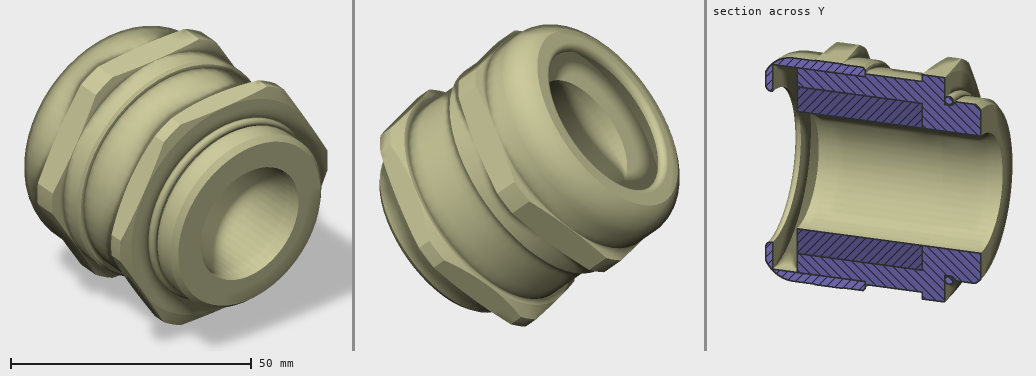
import cadquery as cq
import math


ACROSS_FLATS = 50.0
CORNER_DIAMETER = 55.0
HEX_FACE_DIAMETER = 49.8
SHALLOW_BEVEL = 0.55
STEEP_BEVEL_ANGLE = 30.0
STEEP_BEVEL = (CORNER_DIAMETER - HEX_FACE_DIAMETER) / 2 * math.tan(math.radians(STEEP_BEVEL_ANGLE))

CAP_DIAMETER = 49.8
CAP_LENGTH = 22.05
CAP_END_CHAMFER = 0.55
DOME_LENGTH = 6.2
DOME_RADIUS = 6.9
CAP_HEX_START = 10.95
CAP_HEX_END = 17.0
MOUTH_DIAMETER = 33.5
MOUTH_FILLET = 1.25
LIP_THICKNESS = 1.6
CAP_BORE_DIAMETER = 45.5

SEAL_START = 6.95
SEAL_DIAMETER = 37.0
CABLE_BORE_DIAMETER = 26.0

BARREL_DIAMETER = 47.0
FLANGE_START = 34.6
FLANGE_END = 39.65
THREAD_START = 42.1
THREAD_DIAMETER = 40.0
THREAD_END_CHAMFER_LENGTH = 1.2
THREAD_END_DIAMETER = 37.8
TOTAL_LENGTH = 47.6

RING_OUTER_DIAMETER = 41.9
RING_SECTION = 1.85
RING_MEAN_DIAMETER = RING_OUTER_DIAMETER - RING_SECTION
GROOVE_DIAMETER = RING_MEAN_DIAMETER - RING_SECTION

SEAL_END = FLANGE_START


def revolve_about_x(profile):
    """Turn a closed profile, drawn as (x, radius), about the X axis."""
    return profile.close().revolve(360, (0, 0, 0), (1, 0, 0))


def cylinder(diameter, start, end):
    return cq.Workplane("YZ", origin=(start, 0, 0)).circle(diameter / 2).extrude(end - start)


def bevelled_hexagon(start, end, front_bevel, rear_bevel):
    """Hexagon with flats facing +Z and -Z, its corners turned down and bevelled at both ends."""
    prism = (
        cq.Workplane("YZ", origin=(start, 0, 0))
        .polygon(6, ACROSS_FLATS / math.cos(math.pi / 6))
        .extrude(end - start)
    )
    turned = revolve_about_x(
        cq.Workplane("XY")
        .moveTo(start, 0)
        .lineTo(start, HEX_FACE_DIAMETER / 2)
        .lineTo(start + front_bevel, CORNER_DIAMETER / 2)
        .lineTo(end - rear_bevel, CORNER_DIAMETER / 2)
        .lineTo(end, HEX_FACE_DIAMETER / 2)
        .lineTo(end, 0)
    )
    return prism.intersect(turned)


def make_cap():
    """Domed nut with a rounded mouth, a thin front lip and a wide bore for the body."""
    cap_radius = CAP_DIAMETER / 2
    dome_center_radius = cap_radius - DOME_RADIUS
    face_radius = dome_center_radius + math.sqrt(DOME_RADIUS**2 - DOME_LENGTH**2)
    start_angle = math.acos(DOME_LENGTH / DOME_RADIUS)
    mid_angle = (start_angle + math.pi / 2) / 2
    dome_midpoint = (
        DOME_LENGTH - DOME_RADIUS * math.cos(mid_angle),
        dome_center_radius + DOME_RADIUS * math.sin(mid_angle),
    )
    shell = revolve_about_x(
        cq.Workplane("XY")
        .moveTo(0, 0)
        .lineTo(0, face_radius)
        .threePointArc(dome_midpoint, (DOME_LENGTH, cap_radius))
        .lineTo(CAP_LENGTH - CAP_END_CHAMFER, cap_radius)
        .lineTo(CAP_LENGTH, cap_radius - CAP_END_CHAMFER)
        .lineTo(CAP_LENGTH, 0)
    )
    hexagon = bevelled_hexagon(CAP_HEX_START, CAP_HEX_END, SHALLOW_BEVEL, SHALLOW_BEVEL)

    mouth_radius = MOUTH_DIAMETER / 2
    fillet_offset = MOUTH_FILLET * (1 - math.sqrt(0.5))
    opening = revolve_about_x(
        cq.Workplane("XY")
        .moveTo(0, 0)
        .lineTo(0, mouth_radius + MOUTH_FILLET)
        .threePointArc((fillet_offset, mouth_radius + fillet_offset), (MOUTH_FILLET, mouth_radius))
        .lineTo(LIP_THICKNESS, mouth_radius)
        .lineTo(LIP_THICKNESS, CAP_BORE_DIAMETER / 2)
        .lineTo(CAP_LENGTH, CAP_BORE_DIAMETER / 2)
        .lineTo(CAP_LENGTH, 0)
    )
    return shell.union(hexagon).cut(opening)


def make_body():
    """Tube with a spigot, barrel, hexagonal flange, O-ring groove and connection thread."""
    thread_radius = THREAD_DIAMETER / 2
    groove_radius = GROOVE_DIAMETER / 2
    groove_depth = thread_radius - groove_radius
    turned = revolve_about_x(
        cq.Workplane("XY")
        .moveTo(SEAL_START, 0)
        .lineTo(SEAL_START, CAP_BORE_DIAMETER / 2)
        .lineTo(CAP_LENGTH, CAP_BORE_DIAMETER / 2)
        .lineTo(CAP_LENGTH, BARREL_DIAMETER / 2)
        .lineTo(FLANGE_END, BARREL_DIAMETER / 2)
        .lineTo(FLANGE_END, groove_radius)
        .lineTo(THREAD_START - groove_depth, groove_radius)
        .lineTo(THREAD_START, thread_radius)
        .lineTo(TOTAL_LENGTH - THREAD_END_CHAMFER_LENGTH, thread_radius)
        .lineTo(TOTAL_LENGTH, THREAD_END_DIAMETER / 2)
        .lineTo(TOTAL_LENGTH, 0)
    )
    flange = bevelled_hexagon(FLANGE_START, FLANGE_END, STEEP_BEVEL, SHALLOW_BEVEL)
    seal_seat = cylinder(SEAL_DIAMETER, SEAL_START, SEAL_END)
    cable_bore = cylinder(CABLE_BORE_DIAMETER, SEAL_END, TOTAL_LENGTH)
    return turned.union(flange).cut(seal_seat).cut(cable_bore)


def make_seal():
    """Sleeve that fills the seat in the body, flush with the front of the spigot."""
    sleeve = cylinder(SEAL_DIAMETER, SEAL_START, SEAL_END)
    return sleeve.cut(cylinder(CABLE_BORE_DIAMETER, SEAL_START, SEAL_END))


def make_o_ring():
    """Ring of round section seated in the groove."""
    section = (
        cq.Workplane("XY")
        .moveTo(FLANGE_END + RING_SECTION / 2, RING_MEAN_DIAMETER / 2)
        .circle(RING_SECTION / 2)
    )
    return section.revolve(360, (0, 0, 0), (1, 0, 0))


cap = make_cap()
body = make_body()
seal = make_seal()
o_ring = make_o_ring()

result = cq.Compound.makeCompound([cap.val(), body.val(), seal.val(), o_ring.val()])